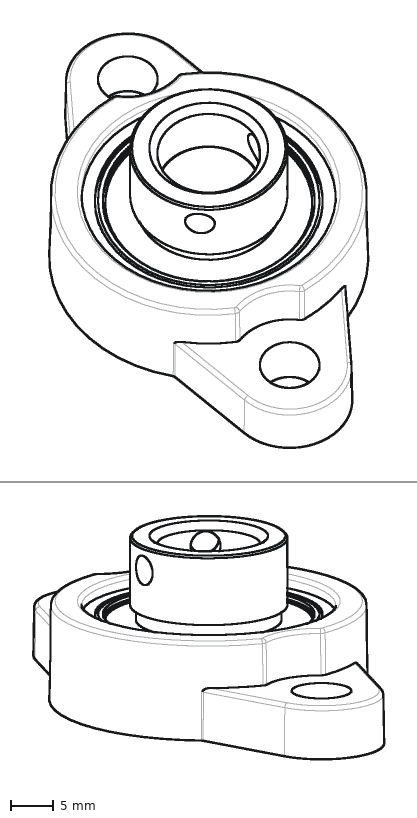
import cadquery as cq
import math

boss_diameter = 37.7
boss_height = 12.0
flange_length = 62.8
flange_height = 6.4
bolt_spacing = 48.0
bolt_hole_diameter = 7.05
ear_side_angle = 20.0
draft_angle = 1.0
top_edge_radius = 0.5
notch_radius = 7.05
notch_lip_radius = 0.75
ear_root_radius = 0.4

recess_diameter = 30.0
recess_depth = 1.6
seat_diameter = 26.9

overall_height = 20.0
ring_chamfer = 0.4
ring_inner_diameter = 25.0
shield_diameter = 24.4
shield_step = 0.25
shield_depth = 2.25
neck_diameter = 17.2
collar_diameter = 18.6
collar_bottom_drop = 0.45
collar_edge_chamfer = 0.25
bore_diameter = 12.0
bore_entry_diameter = 12.1
bore_entry_depth = 6.9
bore_chamfer = 0.95
screw_hole_diameter = 3.5
screw_hole_height = 17.15
screw_hole_angles = (90.0, -30.0)

ear_radius = (flange_length - bolt_spacing) / 2
bolt_offset = bolt_spacing / 2
recess_floor = boss_height - recess_depth
ring_shoulder = recess_floor - ring_chamfer
shield_top = boss_height - shield_depth
bore_ledge = overall_height - bore_entry_depth
collar_bottom = boss_height - collar_bottom_drop


def make_flange():
    """Rounded ears whose straight sides run into the foot of the boss."""
    angle = math.radians(ear_side_angle)
    tangent_x = bolt_offset + ear_radius * math.sin(angle)
    tangent_y = ear_radius * math.cos(angle)
    middle_y = (ear_radius + bolt_offset * math.sin(angle)) / math.cos(angle)
    ears = (
        cq.Workplane("XY")
        .moveTo(0, middle_y)
        .lineTo(tangent_x, tangent_y)
        .threePointArc((flange_length / 2, 0), (tangent_x, -tangent_y))
        .lineTo(0, -middle_y)
        .lineTo(-tangent_x, -tangent_y)
        .threePointArc((-flange_length / 2, 0), (-tangent_x, tangent_y))
        .close()
        .extrude(flange_height, taper=draft_angle)
    )
    foot = cq.Workplane("XY").circle(boss_diameter / 2).extrude(flange_height, taper=draft_angle)

    reach = boss_diameter / 2
    low, high = flange_height / 3, flange_height * 2 / 3
    back_roots = cq.selectors.BoxSelector((-reach, ear_radius, low), (reach, reach, high))
    front_roots = cq.selectors.BoxSelector((-reach, -reach, low), (reach, -ear_radius, high))
    flange = ears.union(foot).edges(back_roots + front_roots).fillet(ear_root_radius)
    return flange.faces(">Z").edges().fillet(top_edge_radius)


def make_boss():
    """Drafted disc with a scallop above each bolt hole and a recessed top."""
    boss = cq.Workplane("XY").circle(boss_diameter / 2).extrude(boss_height, taper=draft_angle)
    notches = (
        cq.Workplane("XY", origin=(0, 0, flange_height))
        .pushPoints([(-bolt_offset, 0), (bolt_offset, 0)])
        .circle(notch_radius)
        .extrude(boss_height - flange_height, taper=-draft_angle)
    )
    boss = boss.cut(notches)
    lips = cq.selectors.BoxSelector(
        (-boss_diameter, -ear_radius, flange_height + top_edge_radius),
        (boss_diameter, ear_radius, boss_height - top_edge_radius),
    )
    boss = boss.edges(lips).fillet(notch_lip_radius)
    recess = (
        cq.Workplane("XY", origin=(0, 0, recess_floor)).circle(recess_diameter / 2).extrude(recess_depth)
    )
    return boss.cut(recess).faces(">Z").edges().fillet(top_edge_radius)


def make_housing():
    housing = make_boss().union(make_flange())

    bolt_holes = (
        cq.Workplane("XY")
        .pushPoints([(-bolt_offset, 0), (bolt_offset, 0)])
        .circle(bolt_hole_diameter / 2)
        .extrude(boss_height)
    )
    seat = cq.Workplane("XY").circle(seat_diameter / 2).extrude(boss_height)
    return housing.cut(bolt_holes).cut(seat)


def make_bearing():
    """Ring, sunken shield, neck and collar turned about the Z axis."""
    bore_radius = bore_diameter / 2
    entry_radius = bore_entry_diameter / 2
    seat_radius = seat_diameter / 2
    collar_radius = collar_diameter / 2
    bearing = (
        cq.Workplane("XZ")
        .moveTo(bore_radius, 0)
        .lineTo(seat_radius, 0)
        .lineTo(seat_radius, ring_shoulder)
        .lineTo(seat_radius - ring_chamfer, recess_floor)
        .lineTo(ring_inner_diameter / 2, recess_floor)
        .lineTo(ring_inner_diameter / 2, shield_top + shield_step)
        .lineTo(shield_diameter / 2, shield_top + shield_step)
        .lineTo(shield_diameter / 2, shield_top)
        .lineTo(neck_diameter / 2, shield_top)
        .lineTo(neck_diameter / 2, collar_bottom)
        .lineTo(collar_radius, collar_bottom)
        .lineTo(collar_radius, overall_height - collar_edge_chamfer)
        .lineTo(collar_radius - collar_edge_chamfer, overall_height)
        .lineTo(entry_radius + bore_chamfer, overall_height)
        .lineTo(entry_radius, overall_height - bore_chamfer)
        .lineTo(entry_radius, bore_ledge)
        .lineTo(bore_radius, bore_ledge)
        .close()
        .revolve(360, (0, 0, 0), (0, 1, 0))
    )
    for angle in screw_hole_angles:
        direction = cq.Vector(math.cos(math.radians(angle)), math.sin(math.radians(angle)), 0)
        screw_hole = cq.Solid.makeCylinder(
            screw_hole_diameter / 2, collar_diameter, cq.Vector(0, 0, screw_hole_height), direction
        )
        bearing = bearing.cut(cq.Workplane(screw_hole))
    return bearing


housing = make_housing()
bearing = make_bearing()

result = cq.Compound.makeCompound([housing.val(), bearing.val()])